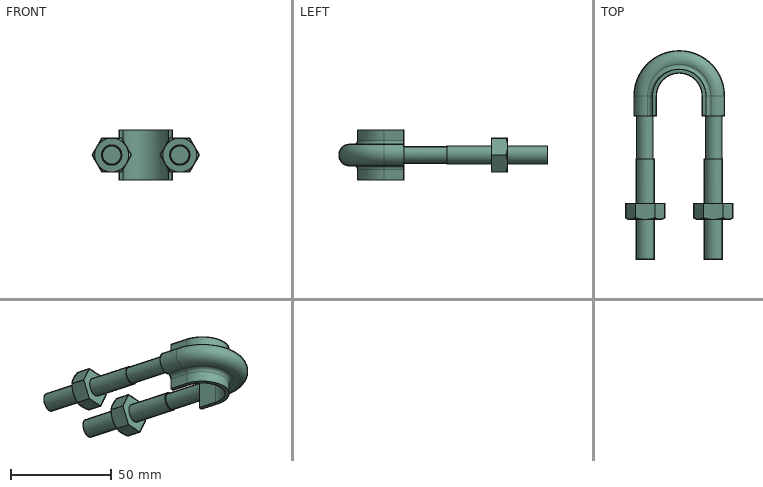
import cadquery as cq
import math

total_length = 104.2
saddle_height = 25.0

plate_inner_radius = 11.4
plate_thickness = 2.0
plate_outer_radius = plate_inner_radius + plate_thickness
saddle_leg_length = 9.9
sleeve_radius = 5.4
sleeve_fillet = 2.0

bend_radius = 17.2
shank_diameter = 8.3
thread_diameter = 9.2
thread_spacing = 34.0
thread_length = 50.1
bolt_end_y = bend_radius + sleeve_radius - total_length
thread_start_y = bolt_end_y + thread_length

nut_across_flats = 17.0
nut_across_corners = nut_across_flats / math.cos(math.pi / 6)
nut_thickness = 8.0
nut_end_gap = 20.0
nut_face_diameter = 17.0
nut_chamfer_angle = 30.0
nut_countersink_diameter = 10.1
nut_end_y = bolt_end_y + nut_end_gap


def rod_along_y(x, start_y, length, radius):
    """Round rod centred at x, running from start_y toward +Y."""
    start = cq.Vector(x, start_y, 0)
    return cq.Workplane(cq.Solid.makeCylinder(radius, length, start, cq.Vector(0, 1, 0)))


def half_ring(profile):
    """Turn an XZ profile through the half circle on the +Y side."""
    return profile.revolve(180, (0, 0, 0), (0, 1, 0))


def saddle_section():
    """Section of one saddle leg at +X: plate, half-round sleeve and blending fillets."""
    half_height = saddle_height / 2
    fillet_x = plate_outer_radius + sleeve_fillet
    centre_distance = sleeve_radius + sleeve_fillet
    fillet_z = math.sqrt(centre_distance**2 - (bend_radius - fillet_x) ** 2)
    contact_share = sleeve_radius / centre_distance
    contact_x = bend_radius + (fillet_x - bend_radius) * contact_share
    contact_z = fillet_z * contact_share
    contact_angle = math.atan2(contact_z - fillet_z, contact_x - fillet_x)
    middle_angle = (contact_angle - math.pi) / 2
    middle_x = fillet_x + sleeve_fillet * math.cos(middle_angle)
    middle_z = fillet_z + sleeve_fillet * math.sin(middle_angle)
    return (
        cq.Workplane("XZ")
        .moveTo(plate_inner_radius, -half_height)
        .lineTo(plate_outer_radius, -half_height)
        .lineTo(plate_outer_radius, -fillet_z)
        .threePointArc((middle_x, -middle_z), (contact_x, -contact_z))
        .threePointArc((bend_radius + sleeve_radius, 0), (contact_x, contact_z))
        .threePointArc((middle_x, middle_z), (plate_outer_radius, fillet_z))
        .lineTo(plate_outer_radius, half_height)
        .lineTo(plate_inner_radius, half_height)
        .close()
    )


def make_shank():
    """Plain U-shaped part of the bolt: bend and two straight legs."""
    radius = shank_diameter / 2
    shank = half_ring(cq.Workplane("XZ").moveTo(bend_radius, 0).circle(radius))
    for side in (-1, 1):
        shank = shank.union(rod_along_y(side * bend_radius, thread_start_y, -thread_start_y, radius))
    return shank


def make_u_bolt():
    bolt = make_shank()
    for side in (-1, 1):
        thread_x = side * thread_spacing / 2
        bolt = bolt.union(rod_along_y(thread_x, bolt_end_y, thread_length, thread_diameter / 2))
    return bolt


def make_saddle():
    bend = half_ring(saddle_section())
    leg = saddle_section().extrude(saddle_leg_length)
    return bend.union(leg).union(leg.mirror("YZ")).cut(make_shank())


def make_nut(x):
    """Hex nut with its chamfered, countersunk face toward -Y."""
    nut = (
        cq.Workplane("XZ", origin=(x, nut_end_y, 0))
        .polygon(6, nut_across_corners)
        .extrude(-nut_thickness)
    )
    face_radius = nut_face_diameter / 2
    cone_growth = nut_thickness / math.tan(math.radians(nut_chamfer_angle))
    face_centre = cq.Vector(x, nut_end_y, 0)
    inward = cq.Vector(0, 1, 0)
    cone = cq.Solid.makeCone(face_radius, face_radius + cone_growth, nut_thickness, face_centre, inward)
    nut = nut.intersect(cq.Workplane(cone))
    bore_radius = thread_diameter / 2
    sink_radius = nut_countersink_diameter / 2
    sink_depth = sink_radius - bore_radius
    sink = cq.Solid.makeCone(sink_radius, bore_radius, sink_depth, face_centre, inward)
    return nut.cut(rod_along_y(x, nut_end_y, nut_thickness, bore_radius)).cut(cq.Workplane(sink))


saddle = make_saddle()
u_bolt = make_u_bolt()
nuts = [make_nut(side * thread_spacing / 2) for side in (-1, 1)]

result = cq.Compound.makeCompound([saddle.val(), u_bolt.val(), *[nut.val() for nut in nuts]])